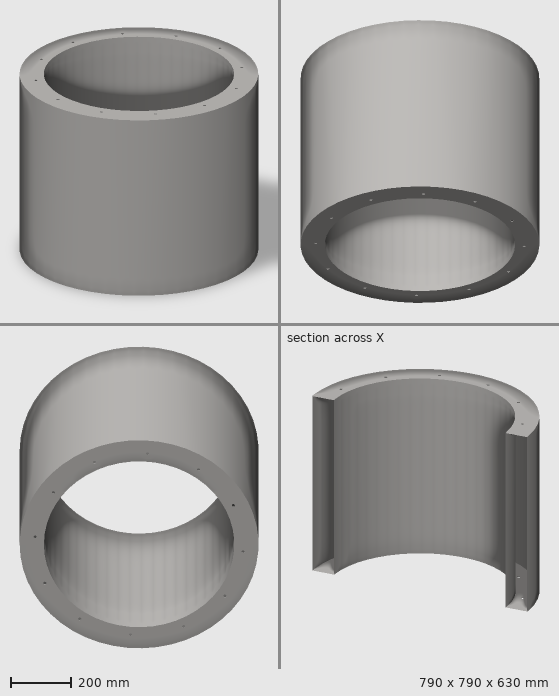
import cadquery as cq

outer_diameter = 790.0
bore_diameter = 630.0
height = 630.0
wall_thickness = 2.0
end_thickness = 2.0

hole_count = 12
hole_diameter = 10.0
hole_circle_diameter = 690.0
first_hole_angle = 180.0 / hole_count


def make_tube(outside, inside, length, base=0.0):
    """Tube along Z with the given diameters, starting at height base."""
    return (
        cq.Workplane("XY")
        .workplane(offset=base)
        .circle(outside / 2)
        .circle(inside / 2)
        .extrude(length)
    )


def make_drum():
    """Two concentric shells joined by flat annular plates at both ends."""
    body = make_tube(outer_diameter, bore_diameter, height)
    cavity = make_tube(
        outer_diameter - 2 * wall_thickness,
        bore_diameter + 2 * wall_thickness,
        height - 2 * end_thickness,
        end_thickness,
    )
    return body.cut(cavity)


def make_hole_pins():
    """Ring of axial pins that cut the holes through both end plates."""
    return (
        cq.Workplane("XY")
        .polarArray(hole_circle_diameter / 2, first_hole_angle, 360, hole_count)
        .circle(hole_diameter / 2)
        .extrude(height)
    )


result = make_drum().cut(make_hole_pins())